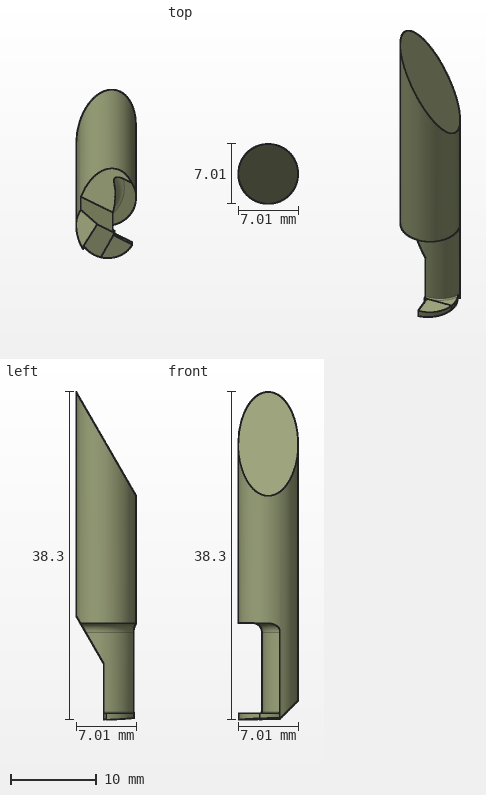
import cadquery as cq
import math


total_height = 38.3
shank_radius = 3.505
bevel_angle = 60.0

shelf_height = 11.3
neck_offset = 2.75
neck_fillet = 1.05
foot_fillet = 0.15
flat_y = 0.3
flat_top = 6.6
corner_x = 1.23
corner_height = 2.25

tip_top = 0.8
tip_reach = 3.45
rim_radius = 3.3
foot_right = 1.35
joint_x = -0.95
back_relief = 2.5
side_relief = 1.5

slope = math.tan(math.radians(bevel_angle))
shank_side = 2 * shank_radius
neck_left = neck_offset - shank_radius
rim_center_x = rim_radius - tip_reach


def extrude_along_x(points):
    """Prism through the whole width from an outline of (y, z) points."""
    return cq.Workplane("YZ").polyline(points).close().extrude(shank_radius, both=True)


def cylinder(radius, height):
    return cq.Workplane("XY").circle(radius).extrude(height)


def top_bevel():
    return extrude_along_x([
        (shank_radius, total_height),
        (-shank_radius, total_height - shank_side * slope),
        (-shank_radius, total_height),
    ])


def shank_flat_cut():
    return extrude_along_x([
        (flat_y, 0),
        (flat_y, flat_top),
        (shank_radius, flat_top + (shank_radius - flat_y) * slope),
        (shank_radius, 0),
    ])


def underside_relief():
    """Space below a tilted underside that touches the base only at the cutting point."""
    depth = shank_radius
    point = (-tip_reach, 0, 0)
    return (
        cq.Workplane("XY")
        .box(2 * shank_side, 2 * shank_side, depth)
        .translate((0, 0, -depth / 2))
        .rotate(point, (-tip_reach, 1, 0), -side_relief)
        .rotate(point, (-tip_reach + 0.4, 0, 0), -back_relief)
    )


def rim_disc():
    """Disc whose edge forms the rim of the tip and of the foot beside it."""
    return cylinder(rim_radius, tip_top).translate((rim_center_x, 0, 0))


def foot_rim_cut():
    """Space between the rim and the shank surface, on the -Y side of the foot."""
    return (
        cq.Workplane("XY")
        .box(foot_right - joint_x, shank_radius, tip_top, centered=False)
        .translate((joint_x, -shank_radius, 0))
        .cut(rim_disc())
    )


def neck_relief():
    """Ring-shaped space around the offset neck, flared at the shelf and foot."""
    foot_left = neck_left - foot_fillet
    shelf_left = neck_left - neck_fillet
    diagonal = math.sqrt(0.5)
    outer_left = neck_offset - 3 * shank_radius
    return (
        cq.Workplane("XZ")
        .moveTo(outer_left, tip_top)
        .lineTo(foot_left, tip_top)
        .threePointArc(
            (foot_left + foot_fillet * diagonal, tip_top + foot_fillet * (1 - diagonal)),
            (neck_left, tip_top + foot_fillet),
        )
        .lineTo(neck_left, shelf_height - neck_fillet)
        .threePointArc(
            (shelf_left + neck_fillet * diagonal, shelf_height - neck_fillet * (1 - diagonal)),
            (shelf_left, shelf_height),
        )
        .lineTo(outer_left, shelf_height)
        .close()
        .revolve(360, (neck_offset, 0, 0), (neck_offset, 1, 0))
    )


def corner_chamfer():
    return (
        cq.Workplane("XZ")
        .polyline([(corner_x, 0), (shank_radius, corner_height), (shank_radius, 0)])
        .close()
        .extrude(shank_radius, both=True)
    )


def tip_space():
    """Space below the neck on the -X side of the joint plane."""
    return (
        cq.Workplane("XY")
        .box(shank_radius + joint_x, shank_side, tip_top, centered=(False, True, False))
        .translate((-shank_radius, 0, 0))
    )


def chip_face_side():
    """Block on the +Y side of the chip face, which lies in the plane of the shank axis."""
    return cq.Workplane("XY").box(shank_side, shank_radius, tip_top, centered=(True, False, False))


def make_shank():
    return (
        cylinder(shank_radius, total_height)
        .cut(top_bevel())
        .cut(neck_relief())
        .cut(shank_flat_cut())
        .cut(underside_relief())
        .cut(corner_chamfer())
        .cut(tip_space())
        .cut(foot_rim_cut())
    )


def make_cutting_tip():
    return (
        rim_disc()
        .intersect(tip_space())
        .cut(chip_face_side())
        .cut(underside_relief())
    )


shank = make_shank()
cutting_tip = make_cutting_tip()
result = cq.Compound.makeCompound([shank.val(), cutting_tip.val()])